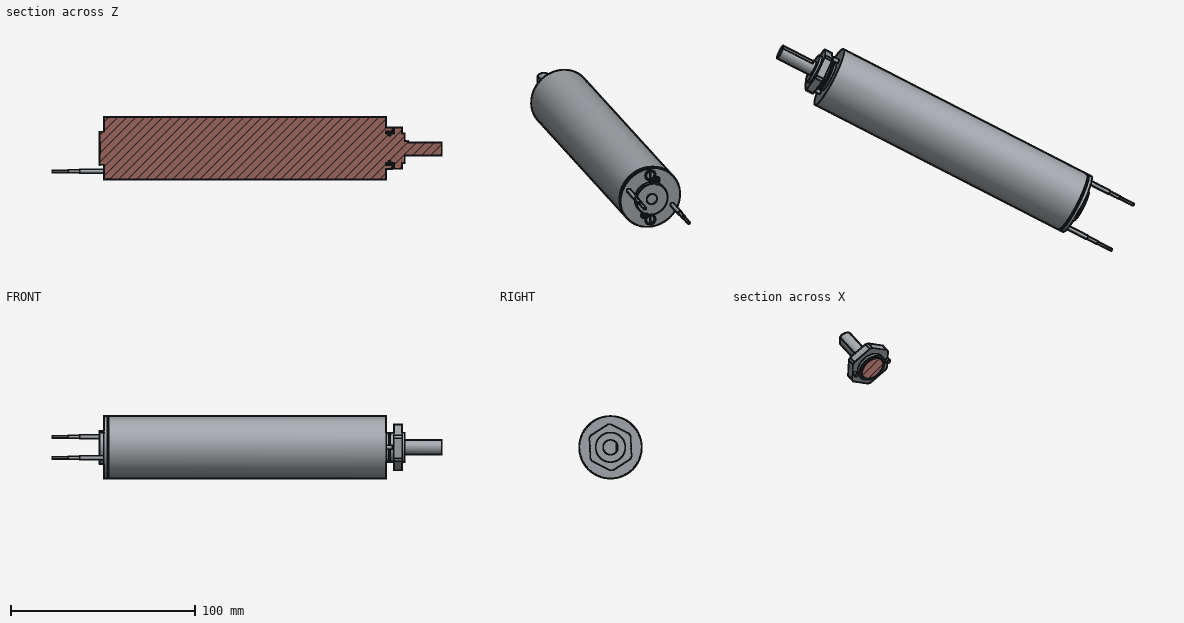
import cadquery as cq
import math


total_length = 211.5
boss_start = 25.5
body_start = 28.1
body_end = 181.3
nut_start = 185.5
nut_end = 190.0
bushing_end = 191.5
flat_start = 193.2

body_diameter = 34.0
joint_offset = 2.0
joint_width = 0.8
joint_depth = 0.5

boss_diameter = 18.2
boss_edge_chamfer = 0.2
boss_recess_diameter = 6.0
boss_recess_depth = 0.5

screw_offset = 13.0
screw_recess_diameter = 6.0
screw_recess_depth = 0.6
screw_head_diameter = 4.7
screw_head_height = 0.5
screw_slot_width = 0.6
counterbore_diameter = 3.5
counterbore_depth = 0.5
small_hole_diameter = 2.0
small_hole_depth = 2.1
small_hole_y = -3.5
small_hole_z = 9.7

terminal_y = 12.5
terminal_z = 5.7
wire_tip_end = 8.9
wire_tip_diameter = 1.4
wire_end = 15.0
wire_diameter = 1.8
sleeve_diameter = 2.3

bushing_diameter = 16.0
relief_diameter = 13.8
relief_start = 182.6
relief_end = 183.7

nut_across_flats = 22.5
nut_corner_diameter = 25.0
nut_turn = 2.8

pin_diameter = 2.3
pin_length = 3.4
pin_y = 10.2

shaft_diameter = 8.0
shaft_flat_y = 3.2


def rod(start, end, diameter, y=0.0, z=0.0):
    """Round bar parallel to X, between two X stations."""
    centre = cq.Vector(start, y, z)
    return cq.Workplane(cq.Solid.makeCylinder(diameter / 2, end - start, centre, cq.Vector(1, 0, 0)))


def block(start, end, width, height, y=0.0, z=0.0):
    """Rectangular bar parallel to X; width runs along Y and height along Z."""
    bar = cq.Workplane("XY").box(end - start, width, height, centered=(False, True, True))
    return bar.translate((start, y, z))


def make_body():
    joint_start = body_start + joint_offset
    joint_end = joint_start + joint_width
    joint = rod(joint_start, joint_end, body_diameter).cut(
        rod(joint_start, joint_end, body_diameter - 2 * joint_depth)
    )
    return rod(body_start, body_end, body_diameter).cut(joint)


def make_rear_boss():
    boss = rod(boss_start, body_start, boss_diameter).faces("<X").edges().chamfer(boss_edge_chamfer)
    return boss.cut(rod(boss_start, boss_start + boss_recess_depth, boss_recess_diameter))


def make_screw_head(z):
    floor = body_start + screw_recess_depth
    top = floor - screw_head_height
    head = rod(top, floor, screw_head_diameter, z=z)
    return head.cut(block(top, floor, screw_slot_width, screw_head_diameter, z=z))


def make_counterbored_hole(y, z):
    """Cutting shape; its counterbore also clips the edge of the boss."""
    counterbore = rod(boss_start, body_start + counterbore_depth, counterbore_diameter, y, z)
    return counterbore.union(rod(body_start, body_start + small_hole_depth, small_hole_diameter, y, z))


def make_terminal(side):
    y = side * terminal_y
    z = side * terminal_z
    return (
        rod(0, wire_tip_end, wire_tip_diameter, y, z)
        .union(rod(wire_tip_end, wire_end, wire_diameter, y, z))
        .union(rod(wire_end, body_start, sleeve_diameter, y, z))
    )


def make_bushing():
    return (
        rod(body_end, relief_start, bushing_diameter)
        .union(rod(relief_start, relief_end, relief_diameter))
        .union(rod(relief_end, bushing_end, bushing_diameter))
    )


def make_nut():
    corner_circle = nut_across_flats / math.cos(math.radians(30))
    hexagon = (
        cq.Workplane("YZ", origin=(nut_start, 0, 0))
        .polygon(6, corner_circle)
        .extrude(nut_end - nut_start)
        .rotate((0, 0, 0), (1, 0, 0), 90 + nut_turn)
    )
    return hexagon.intersect(rod(nut_start, nut_end, nut_corner_diameter))


def make_shaft():
    shaft = rod(bushing_end, total_length, shaft_diameter)
    flat_cut_width = shaft_diameter / 2
    flat_cut = block(
        flat_start, total_length, flat_cut_width, shaft_diameter, y=shaft_flat_y + flat_cut_width / 2
    )
    return shaft.cut(flat_cut)


result = make_body().union(make_rear_boss())
result = result.union(make_bushing()).union(make_nut()).union(make_shaft())

for side in (1, -1):
    screw_z = side * screw_offset
    result = (
        result.cut(rod(body_start, body_start + screw_recess_depth, screw_recess_diameter, z=screw_z))
        .cut(make_counterbored_hole(side * small_hole_y, side * small_hole_z))
        .union(make_screw_head(screw_z))
        .union(make_terminal(side))
        .union(rod(body_end, body_end + pin_length, pin_diameter, y=side * pin_y))
    )